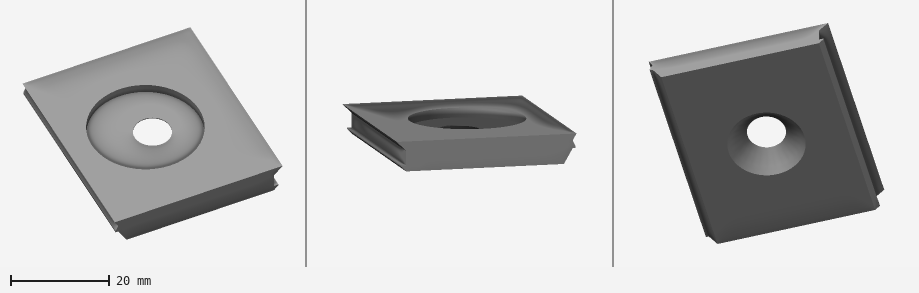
import cadquery as cq
import math

length_x = 44.0
width_y = 37.87
thickness = 6.2
front_y = -width_y / 2
back_y = width_y / 2

front_slope = math.tan(math.radians(30))
front_notch_depth = 1.4
front_notch_inset = front_notch_depth * front_slope
ridge_inset = 0.2
ridge_top_z = 3.6
ridge_bottom_z = 3.2
front_bottom_inset = front_notch_inset + ridge_bottom_z * front_slope

groove_depth = 1.95
lip_inset = 0.95
lip_top_z = 1.25
lip_chamfer = 1.0

pocket_diameter = 24.2
pocket_depth = 2.0
pocket_center_y = -1.6
hole_diameter = 8.0
countersink_diameter = 16.0
countersink_depth = (countersink_diameter - hole_diameter) / 2


def make_plate():
    """Extrude the edge profile, drawn in the YZ plane, along X."""
    profile = [
        (front_y, thickness),
        (front_y + front_notch_inset, thickness - front_notch_depth),
        (front_y + ridge_inset, ridge_top_z),
        (front_y + ridge_inset, ridge_bottom_z),
        (front_y + front_notch_inset, ridge_bottom_z),
        (front_y + front_bottom_inset, 0),
        (back_y - lip_inset - lip_chamfer, 0),
        (back_y - lip_inset, lip_chamfer),
        (back_y - lip_inset, lip_top_z),
        (back_y - groove_depth, lip_top_z),
        (back_y - groove_depth, thickness - groove_depth),
        (back_y, thickness),
    ]
    return cq.Workplane("YZ").polyline(profile).close().extrude(length_x / 2, both=True)


def make_pocket():
    """Round recess in the top face, offset toward the front edge."""
    floor = cq.Workplane("XY").workplane(offset=thickness - pocket_depth)
    return floor.center(0, pocket_center_y).circle(pocket_diameter / 2).extrude(pocket_depth)


def make_screw_hole():
    """Through hole at the plate centre with a 45 degree countersink from below."""
    bore = cq.Workplane("XY").circle(hole_diameter / 2).extrude(thickness)
    cone = cq.Solid.makeCone(countersink_diameter / 2, hole_diameter / 2, countersink_depth)
    return bore.union(cq.Workplane(cone))


result = make_plate().cut(make_pocket()).cut(make_screw_hole())